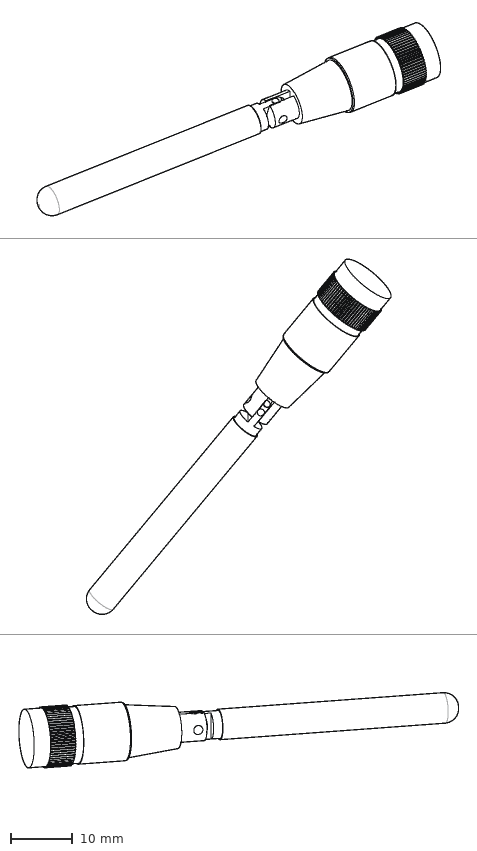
import cadquery as cq
import math


total_length = 72.5
back_y = 28.2
tip_y = back_y - total_length

shell_diameter = 9.6
shell_end_y = back_y - 16.4
shell_bevel_length = 0.2
shell_bevel_depth = 0.1
collar_diameter = 9.3
collar_end_y = back_y - 8.35
knurl_diameter = 9.9
knurl_start_y = back_y - 2.75
knurl_end_y = back_y - 6.95
knurl_tooth_count = 65
knurl_depth = 0.2

taper_large_diameter = 8.8
taper_small_diameter = 6.9
taper_end_y = back_y - 25.2
fork_diameter = 4.9
fork_shoulder_y = -1.45
fork_tip_y = -2.25
slot_width = 1.2
slot_bottom_y = taper_end_y

rod_diameter = 5.0
rod_start_y = back_y - 32.35
neck_diameter = 4.6
neck_start_y = back_y - 30.8
tip_flat_diameter = 0.34
tang_end_radius = neck_diameter / 2

pin_diameter = 1.5
detent_radius = 1.15 / 2
detent_angles = (-90, -45, 0, 45, 90)


def disc(diameter, start_y, end_y):
    """A cylinder on the Y axis, from start_y down to end_y."""
    return cq.Workplane("XZ", origin=(0, start_y, 0)).circle(diameter / 2).extrude(start_y - end_y)


def slot_slab(start_y, end_y):
    """A slab as wide as the fork slot and taller than the fork."""
    slab = cq.Workplane("XY").box(slot_width, start_y - end_y, 2 * fork_diameter)
    return slab.translate((0, (start_y + end_y) / 2, 0))


def make_knurl():
    """A band of V-shaped teeth, with one tooth crest at the bottom."""
    crest_radius = knurl_diameter / 2
    root_radius = crest_radius - knurl_depth
    half_pitch = math.pi / knurl_tooth_count
    points = []
    for i in range(2 * knurl_tooth_count):
        radius = crest_radius if i % 2 == 0 else root_radius
        angle = i * half_pitch - math.pi / 2
        points.append((radius * math.cos(angle), radius * math.sin(angle)))
    band = cq.Workplane("XZ", origin=(0, knurl_start_y, 0)).polyline(points).close()
    return band.extrude(knurl_start_y - knurl_end_y)


def make_plunger():
    """The round-nosed detent stud on the slot bottom, which rests in the tang's end dimple."""
    return (
        cq.Workplane("XY")
        .moveTo(0, tang_end_radius - detent_radius)
        .radiusArc((detent_radius, tang_end_radius), -detent_radius)
        .lineTo(detent_radius, slot_bottom_y)
        .lineTo(0, slot_bottom_y)
        .close()
        .revolve(360, (0, 0), (0, 1))
    )


def make_housing():
    """Shell, taper and fork turned as one profile, then knurled, slotted and bored for the pin."""
    shell_radius = shell_diameter / 2
    collar_radius = collar_diameter / 2
    fork_radius = fork_diameter / 2
    profile = [
        (0, back_y),
        (shell_radius, back_y),
        (shell_radius, knurl_end_y),
        (collar_radius, knurl_end_y),
        (collar_radius, collar_end_y),
        (shell_radius, collar_end_y),
        (shell_radius, shell_end_y + shell_bevel_length),
        (shell_radius - shell_bevel_depth, shell_end_y),
        (taper_large_diameter / 2, shell_end_y),
        (taper_small_diameter / 2, taper_end_y),
        (fork_radius, taper_end_y),
        (fork_radius, fork_shoulder_y),
        (0, fork_tip_y),
    ]
    turned = cq.Workplane("XY").polyline(profile).close().revolve(360, (0, 0), (0, 1))
    slotted = turned.union(make_knurl()).cut(slot_slab(slot_bottom_y, neck_start_y))
    return slotted.union(make_plunger()).cut(pin_bore)


def make_tang():
    """The flat tongue of the whip, rounded about the hinge axis."""
    rounded_end = cq.Workplane("YZ").circle(tang_end_radius).extrude(slot_width / 2, both=True)
    tongue = slot_slab(0, rod_start_y).union(rounded_end)
    return tongue.intersect(disc(neck_diameter, taper_end_y, rod_start_y))


def make_whip():
    """Round-tipped rod, neck and tang, with detent dimples around the tang's end."""
    rod = disc(rod_diameter, rod_start_y, tip_y)
    rod = rod.faces("<Y").edges().fillet((rod_diameter - tip_flat_diameter) / 2)
    whip = rod.union(disc(neck_diameter, neck_start_y, rod_start_y)).union(make_tang())
    for angle in detent_angles:
        y = tang_end_radius * math.cos(math.radians(angle))
        z = tang_end_radius * math.sin(math.radians(angle))
        whip = whip.cut(cq.Workplane("XY").sphere(detent_radius).translate((0, y, z)))
    return whip.cut(pin_bore)


pin_bore = cq.Workplane("YZ").circle(pin_diameter / 2).extrude(fork_diameter, both=True)
pin = pin_bore.intersect(disc(fork_diameter, taper_end_y, fork_shoulder_y))
housing = make_housing()
whip = make_whip()

result = cq.Compound.makeCompound([housing.solids().val(), whip.solids().val(), pin.solids().val()])